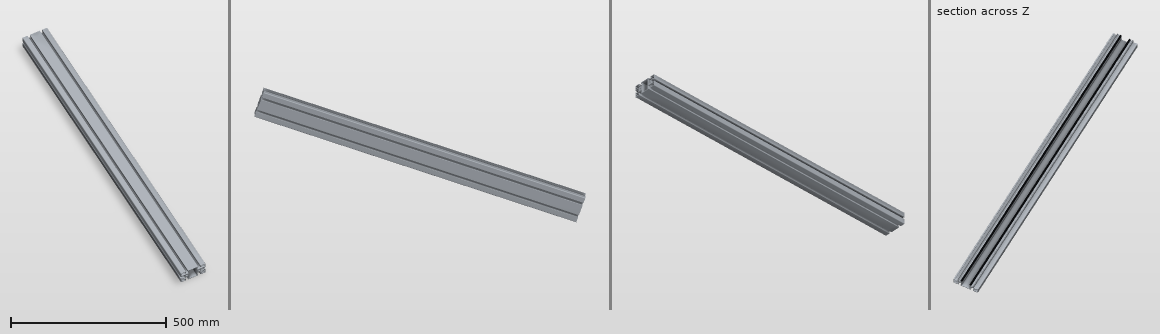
import cadquery as cq

LENGTH = 1100.0
WIDTH = 90.0
HEIGHT = 45.0
HALF_WIDTH = WIDTH / 2
HALF_HEIGHT = HEIGHT / 2
CORNER_RADIUS = 2.5
OUTER_WALL = 1.8

SLOT_OPENING = 8.5
HALF_OPENING = SLOT_OPENING / 2
SLOT_CENTRE = WIDTH / 4
LIP_THICKNESS = 4.5
LIP_EDGE_RADIUS = 0.3
SIDE_CAVITY_WIDTH = 13.5
SIDE_SLOT_DEPTH = 16.0

FLANGE_THICKNESS = 1.5
WIDE_SLOT_FLOOR = SIDE_CAVITY_WIDTH / 2 + FLANGE_THICKNESS

CENTRE_WALL = 2.0
HOLLOW_WIDTH = 28.0
HOLLOW_HEIGHT = HEIGHT - 2 * CENTRE_WALL
HOLLOW_RADIUS = 0.5

CAVITY_TOP = 13.5
CHANNEL_FLOOR = 15.5
MOUTH_INNER = 32.0
MOUTH_OUTER = 40.5
CORNER_LIP_WALL = 1.5

CORE_HOLE_DIAMETER = 7.0
CORE_NOTCH_SPAN = 10.0
CORE_NOTCH_WIDTH = 2.0
CORE_NOTCH_ANGLES = (45, 135)


def bar(y_min, y_max, z_min, z_max):
    """Full-length rectangular bar covering the given section range."""
    centre = (0, (y_min + y_max) / 2, (z_min + z_max) / 2)
    return cq.Workplane("XY").box(LENGTH, y_max - y_min, z_max - z_min).translate(centre)


def blank():
    """Outer block with its four long corners rounded."""
    return cq.Workplane("XY").box(LENGTH, WIDTH, HEIGHT).edges("|X").fillet(CORNER_RADIUS)


def central_hollow():
    """Rectangular through hollow in the middle of the section."""
    return cq.Workplane("XY").box(LENGTH, HOLLOW_WIDTH, HOLLOW_HEIGHT).edges("|X").fillet(HOLLOW_RADIUS)


def side_slot():
    """T-slot opening on the +Y side."""
    lip_back = HALF_WIDTH - LIP_THICKNESS
    half_cavity = SIDE_CAVITY_WIDTH / 2
    opening = bar(lip_back, HALF_WIDTH, -HALF_OPENING, HALF_OPENING)
    cavity = bar(HALF_WIDTH - SIDE_SLOT_DEPTH, lip_back, -half_cavity, half_cavity)
    return opening.union(cavity)


def wide_side_slot():
    """Slot opening upwards at +Y, with its wide cavity and the corner channel above it."""
    slot_inner = SLOT_CENTRE - HALF_OPENING
    slot_outer = SLOT_CENTRE + HALF_OPENING
    cavity_inner = HOLLOW_WIDTH / 2 + CENTRE_WALL
    cavity_outer = HALF_WIDTH - OUTER_WALL
    channel_inner = slot_outer + CORNER_LIP_WALL
    opening = bar(slot_inner, slot_outer, WIDE_SLOT_FLOOR, HALF_HEIGHT)
    inner_cavity = bar(cavity_inner, slot_inner, WIDE_SLOT_FLOOR, HALF_HEIGHT - LIP_THICKNESS)
    outer_cavity = bar(slot_outer, cavity_outer, WIDE_SLOT_FLOOR, CAVITY_TOP)
    mouth = bar(MOUTH_INNER, MOUTH_OUTER, CAVITY_TOP, CHANNEL_FLOOR)
    channel = bar(channel_inner, cavity_outer, CHANNEL_FLOOR, HALF_HEIGHT - OUTER_WALL)
    return opening.union(inner_cavity).union(outer_cavity).union(mouth).union(channel)


def screw_core():
    """Round through hole at +Y with four diagonal relief notches."""
    core = cq.Workplane("YZ").circle(CORE_HOLE_DIAMETER / 2).extrude(LENGTH / 2, both=True)
    notch_pair = cq.Workplane("XY").box(LENGTH, CORE_NOTCH_SPAN, CORE_NOTCH_WIDTH)
    for angle in CORE_NOTCH_ANGLES:
        core = core.union(notch_pair.rotate((0, 0, 0), (1, 0, 0), angle))
    return core.translate((0, SLOT_CENTRE, 0))


def opening_edge_points():
    """Section points of both outer edges of all six slot openings."""
    points = []
    for offset in (-HALF_OPENING, HALF_OPENING):
        for side in (-1, 1):
            points.append((side * HALF_WIDTH, offset))
            for centre in (-SLOT_CENTRE, SLOT_CENTRE):
                points.append((centre + offset, side * HALF_HEIGHT))
    return points


def round_slot_lips(body):
    """Round the long outer edges of the slot openings."""
    edges = body.newObject([])
    for y, z in opening_edge_points():
        edges = edges.add(body.edges(cq.selectors.NearestToPointSelector((0, y, z))))
    return edges.fillet(LIP_EDGE_RADIUS)


upper_slot = wide_side_slot()
half_cuts = side_slot().union(screw_core()).union(upper_slot).union(upper_slot.mirror("XY"))
profile = blank().cut(central_hollow()).cut(half_cuts).cut(half_cuts.mirror("XZ"))

result = round_slot_lips(profile)